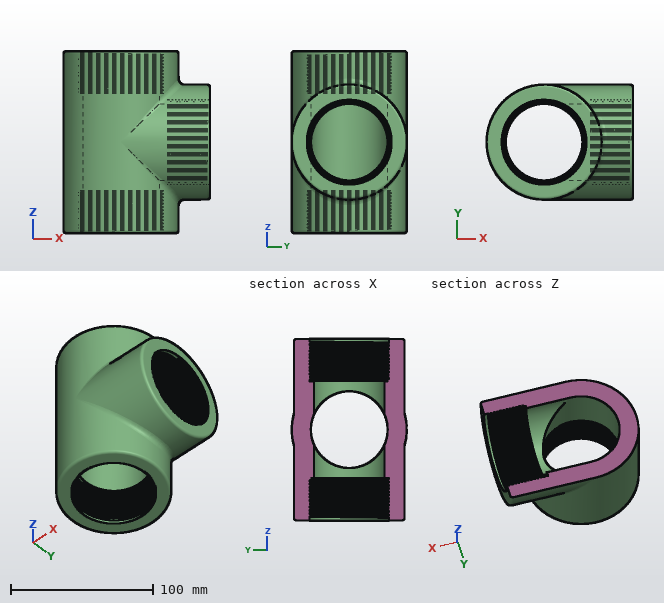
import cadquery as cq
import math

run_length = 128.0
overall_width = 103.0
body_diameter = 81.0
bore_diameter = 53.8
rim_fillet = 2.0
crotch_fillet = 4.0

thread_diameter = 59.6
thread_height = 1.4
thread_angle = 55.0
thread_pitch = 2.3
thread_turns = 12
ridge_crest_width = 0.6
ridge_embed = 0.1

body_radius = body_diameter / 2
bore_radius = bore_diameter / 2
thread_radius = thread_diameter / 2
branch_reach = overall_width - body_radius
run_reach = run_length / 2
socket_depth = (thread_turns + 1) * thread_pitch


def tee_body():
    """Two equal solid cylinders meeting in a tee, with a filleted crotch and rounded rims."""
    run_plane = cq.Plane(origin=(0, 0, 0), xDir=(-1, 0, 0), normal=(0, 0, 1))
    branch_plane = cq.Plane(origin=(0, 0, 0), xDir=(0, 0, 1), normal=(1, 0, 0))
    run = cq.Workplane(run_plane).circle(body_radius).extrude(run_reach, both=True)
    branch = cq.Workplane(branch_plane).circle(body_radius).extrude(branch_reach)
    tee = run.union(branch)
    tee = tee.edges("not(%LINE or %CIRCLE)").fillet(crotch_fillet)
    return tee.faces("<Z or >Z or >X").edges().fillet(rim_fillet)


def thread_ridge():
    """Right-handed helical ridge about Z, rising from the socket floor and starting on the -X side."""
    half_crest = ridge_crest_width / 2
    flank_width = (thread_height + ridge_embed) * math.tan(math.radians(thread_angle / 2))
    half_root = half_crest + flank_width
    crest_radius = thread_radius - thread_height
    root_radius = thread_radius + ridge_embed
    profile = [
        (root_radius, -half_root),
        (crest_radius, -half_crest),
        (crest_radius, half_crest),
        (root_radius, half_root),
    ]
    helix = cq.Workplane(cq.Wire.makeHelix(thread_pitch, thread_turns * thread_pitch, thread_radius))
    ridge = cq.Workplane("XZ").polyline(profile).close().sweep(helix, isFrenet=True)
    return ridge.rotate((0, 0, 0), (0, 0, 1), 180)


def end_cavity(reach):
    """Bore from the centre up to an end face at Z = reach, widening into the threaded socket."""
    socket = cq.Workplane("XY").circle(thread_radius).extrude(socket_depth).cut(thread_ridge())
    bore = cq.Workplane("XY").circle(bore_radius).extrude(reach)
    return bore.union(socket.translate((0, 0, reach - socket_depth)))


top_cavity = end_cavity(run_reach)
bottom_cavity = top_cavity.rotate((0, 0, 0), (1, 0, 0), 180)
branch_cavity = end_cavity(branch_reach).rotate((0, 0, 0), (0, 1, 0), 90)

result = tee_body()
for cavity in (top_cavity, bottom_cavity, branch_cavity):
    result = result.cut(cavity)